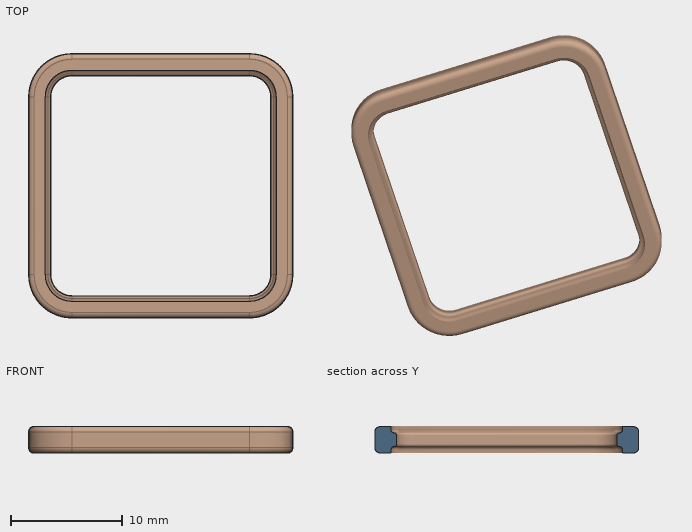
import cadquery as cq
import math

side = 23.8
height = 2.4
corner_radius = 3.9
outer_round = 0.5

rim_width = 1.5
lip_depth = 0.5
lip_setback = 0.3
lip_blend = lip_depth / 2

blend_middle = rim_width + lip_blend
lip_face = rim_width + lip_depth
lower_start = lip_setback
lower_middle = lower_start + lip_blend
lower_end = lower_middle + lip_blend
upper_end = height - lower_end
upper_middle = height - lower_middle
upper_start = height - lower_start

far_mid = math.sqrt(0.5)
near_mid = 1 - far_mid


def band_section():
    """Closed section of the band at the middle of the -X side."""
    round_near = outer_round * near_mid
    blend_near = lip_blend * near_mid
    blend_far = lip_blend * far_mid
    return (
        cq.Workplane("XZ", origin=(-side / 2, 0, 0))
        .moveTo(outer_round, 0)
        .lineTo(rim_width, 0)
        .lineTo(rim_width, lower_start)
        .threePointArc((rim_width + blend_near, lower_start + blend_far), (blend_middle, lower_middle))
        .threePointArc((blend_middle + blend_far, lower_middle + blend_near), (lip_face, lower_end))
        .lineTo(lip_face, upper_end)
        .threePointArc((blend_middle + blend_far, upper_middle - blend_near), (blend_middle, upper_middle))
        .threePointArc((rim_width + blend_near, upper_start - blend_far), (rim_width, upper_start))
        .lineTo(rim_width, height)
        .lineTo(outer_round, height)
        .threePointArc((round_near, height - round_near), (0, height - outer_round))
        .lineTo(0, outer_round)
        .threePointArc((round_near, round_near), (outer_round, 0))
        .close()
    )


def frame_path():
    """Rounded square followed by the outer face, starting at the middle of the -X side."""
    half = side / 2
    straight = half - corner_radius
    corner_mid = straight + corner_radius * far_mid
    path = cq.Workplane("XY").moveTo(-half, 0)
    path = path.lineTo(-half, straight)
    path = path.threePointArc((-corner_mid, corner_mid), (-straight, half))
    path = path.lineTo(straight, half)
    path = path.threePointArc((corner_mid, corner_mid), (half, straight))
    path = path.lineTo(half, -straight)
    path = path.threePointArc((corner_mid, -corner_mid), (straight, -half))
    path = path.lineTo(-straight, -half)
    path = path.threePointArc((-corner_mid, -corner_mid), (-half, -straight))
    return path.close()


result = band_section().sweep(frame_path()).clean().translate((0, 0, -height / 2))